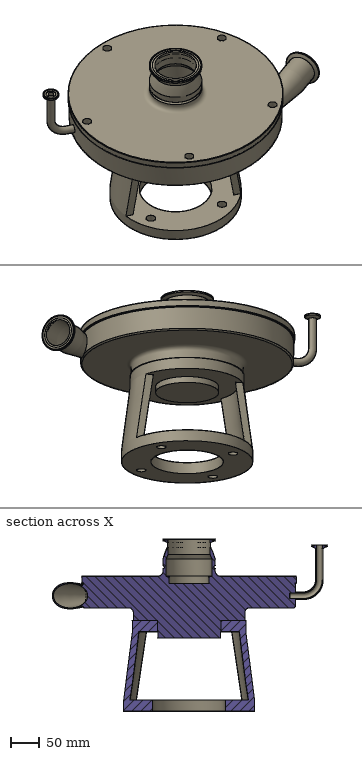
import cadquery as cq

BASE_RADIUS = 115.5
BASE_BORE_RADIUS = 63.5
BASE_THICKNESS = 20.5
BASE_HOLE_COUNT = 4
BASE_HOLE_RADIUS = 8.0
BASE_HOLE_PITCH_RADIUS = 92.5
BASE_HOLE_FIRST_ANGLE = 45.0

FLANGE_RADIUS = 100.0
FLANGE_BOTTOM_Z = 139.5
FLANGE_TOP_Z = 160.0

LEG_WIDTH = 94.0
LEG_WALL = 12.0

OUTLET_ANGLE = 135.0

SPIGOT_RADIUS = 55.5
SPIGOT_BOTTOM_Z = 128.5

HUB_RADIUS = 98.5
HUB_FILLET = 7.5

DRUM_RADIUS = 187.0
DRUM_BOTTOM_Z = 181.5
DRUM_TOP_Z = 224.5
DRUM_BOTTOM_CHAMFER = 2.5
DRUM_TOP_CHAMFER = 1.0
DRUM_MID_Z = (DRUM_BOTTOM_Z + DRUM_TOP_Z) / 2

LID_DIAMETER = 378.0
LID_RADIUS = LID_DIAMETER / 2
LID_TOP_Z = 237.5
LID_CHAMFER = 1.0
LID_HOLE_COUNT = 5
LID_HOLE_RADIUS = 7.5
LID_HOLE_PITCH_RADIUS = 173.0
LID_HOLE_FIRST_ANGLE = OUTLET_ANGLE

INLET_TOP_Z = 302.5
INLET_FERRULE_RADIUS = 46.0
INLET_TUBE_RADIUS = 38.5
INLET_BORE_RADIUS = 36.5
INLET_BODY_RADIUS = 46.0
INLET_TUBE_BOTTOM_Z = 287.5
INLET_DOME_BOTTOM_Z = 267.5
INLET_BODY_BOTTOM_Z = 256.0
INLET_NECK_TOP_Z = 251.0
INLET_GROOVE_DEPTH = 3.0
INLET_NECK_FILLET = 9.5
INLET_DOME_RADIUS = 72.0
INLET_FLARE_TOP_Z = 275.5
INLET_FLARE_RADIUS = 40.0
INLET_RECESS_RADIUS = 35.0

OUTLET_OFFSET = 144.5
OUTLET_FACE_DISTANCE = 205.0
OUTLET_CONE_DISTANCE = 160.5
OUTLET_BORE_CONE_DISTANCE = 165.5
OUTLET_END_DISTANCE = 87.0
OUTLET_FERRULE_RADIUS = 32.5
OUTLET_TUBE_RADIUS = 25.5
OUTLET_END_RADIUS = 15.5
OUTLET_WALL = 2.0

PIPE_RADIUS = 7.0
PIPE_BORE_RADIUS = 4.5
PIPE_BEND_RADIUS = 28.0
PIPE_AXIS_Y = -228.5
PIPE_TOP_Z = 292.5
PIPE_ROOT_DEPTH = 10.0
PIPE_START_Y = PIPE_ROOT_DEPTH - DRUM_RADIUS
PIPE_FERRULE_RADIUS = 14.0

FERRULE_RIM = 3.0
FERRULE_TAPER = 3.0
GASKET_GROOVE_RADIUS = 1.8
GASKET_GROOVE_INSET = 3.5


def cylinder(radius, bottom, top):
    return cq.Workplane("XY").workplane(offset=bottom).circle(radius).extrude(top - bottom)


def ring_of_holes(count, radius, pitch_radius, first_angle, bottom, top):
    return (
        cq.Workplane("XY")
        .workplane(offset=bottom)
        .polarArray(pitch_radius, first_angle, 360, count)
        .circle(radius)
        .extrude(top - bottom)
    )


def frustum(bottom_radius, bottom, top_radius, top):
    outline = [(0, bottom), (bottom_radius, bottom), (top_radius, top), (0, top)]
    return cq.Workplane("XZ").polyline(outline).close().revolve(360, (0, 0), (0, 1))


def ferrule(rim_radius, tube_radius, face_z):
    rim_bottom = face_z - FERRULE_RIM
    rim = cylinder(rim_radius, rim_bottom, face_z)
    return rim.union(frustum(tube_radius, rim_bottom - FERRULE_TAPER, rim_radius, rim_bottom))


def gasket_groove(rim_radius, face_z):
    """Half-round ring sunk into the sealing face of a ferrule."""
    return (
        cq.Workplane("XZ")
        .center(rim_radius - GASKET_GROOVE_INSET, face_z)
        .circle(GASKET_GROOVE_RADIUS)
        .revolve(360, (GASKET_GROOVE_INSET - rim_radius, 0), (GASKET_GROOVE_INSET - rim_radius, 1))
    )


def make_stand():
    base = cylinder(BASE_RADIUS, 0, BASE_THICKNESS)
    flange = cylinder(FLANGE_RADIUS, FLANGE_BOTTOM_Z, FLANGE_TOP_Z)
    shell = frustum(BASE_RADIUS, BASE_THICKNESS, FLANGE_RADIUS, FLANGE_BOTTOM_Z).cut(
        frustum(BASE_RADIUS - LEG_WALL, BASE_THICKNESS, FLANGE_RADIUS - LEG_WALL, FLANGE_BOTTOM_Z)
    )
    leg_band = cq.Workplane("XY").box(LEG_WIDTH, 2 * BASE_RADIUS, FLANGE_TOP_Z, centered=(True, True, False))
    stand = base.union(shell.intersect(leg_band)).union(flange)
    stand = stand.cut(cylinder(BASE_BORE_RADIUS, 0, BASE_THICKNESS))
    stand = stand.cut(cylinder(SPIGOT_RADIUS, FLANGE_BOTTOM_Z, FLANGE_TOP_Z))
    return stand.cut(
        ring_of_holes(
            BASE_HOLE_COUNT,
            BASE_HOLE_RADIUS,
            BASE_HOLE_PITCH_RADIUS,
            BASE_HOLE_FIRST_ANGLE,
            0,
            BASE_THICKNESS,
        )
    )


def make_drum():
    drum = cylinder(DRUM_RADIUS, DRUM_BOTTOM_Z, DRUM_TOP_Z)
    drum = drum.faces("<Z").chamfer(DRUM_BOTTOM_CHAMFER).faces(">Z").chamfer(DRUM_TOP_CHAMFER)
    hub = (
        cq.Workplane("XZ")
        .moveTo(0, FLANGE_TOP_Z)
        .lineTo(HUB_RADIUS, FLANGE_TOP_Z)
        .lineTo(HUB_RADIUS, DRUM_BOTTOM_Z - HUB_FILLET)
        .radiusArc((HUB_RADIUS + HUB_FILLET, DRUM_BOTTOM_Z), HUB_FILLET)
        .lineTo(0, DRUM_BOTTOM_Z)
        .close()
        .revolve(360, (0, 0), (0, 1))
    )
    spigot = cylinder(SPIGOT_RADIUS, SPIGOT_BOTTOM_Z, FLANGE_TOP_Z)
    return drum.union(hub).union(spigot)


def make_lid():
    lid = cylinder(LID_RADIUS, DRUM_TOP_Z, LID_TOP_Z).faces("<Z or >Z").chamfer(LID_CHAMFER)
    return lid.cut(
        ring_of_holes(
            LID_HOLE_COUNT,
            LID_HOLE_RADIUS,
            LID_HOLE_PITCH_RADIUS,
            LID_HOLE_FIRST_ANGLE,
            DRUM_TOP_Z,
            LID_TOP_Z,
        )
    )


def make_inlet():
    groove_z = (INLET_BODY_BOTTOM_Z + INLET_NECK_TOP_Z) / 2
    outer = (
        cq.Workplane("XZ")
        .moveTo(0, LID_TOP_Z)
        .lineTo(INLET_BODY_RADIUS + INLET_NECK_FILLET, LID_TOP_Z)
        .radiusArc((INLET_BODY_RADIUS, LID_TOP_Z + INLET_NECK_FILLET), INLET_NECK_FILLET)
        .lineTo(INLET_BODY_RADIUS, INLET_NECK_TOP_Z)
        .lineTo(INLET_BODY_RADIUS - INLET_GROOVE_DEPTH, groove_z)
        .lineTo(INLET_BODY_RADIUS, INLET_BODY_BOTTOM_Z)
        .lineTo(INLET_BODY_RADIUS, INLET_DOME_BOTTOM_Z)
        .radiusArc((INLET_TUBE_RADIUS, INLET_TUBE_BOTTOM_Z), -INLET_DOME_RADIUS)
        .lineTo(INLET_TUBE_RADIUS, INLET_TOP_Z)
        .lineTo(0, INLET_TOP_Z)
        .close()
        .revolve(360, (0, 0), (0, 1))
    )
    inlet = outer.union(ferrule(INLET_FERRULE_RADIUS, INLET_TUBE_RADIUS, INLET_TOP_Z))
    return inlet.cut(gasket_groove(INLET_FERRULE_RADIUS, INLET_TOP_Z))


def inlet_bore():
    tube = cylinder(INLET_BORE_RADIUS, INLET_FLARE_TOP_Z, INLET_TOP_Z)
    flare = frustum(INLET_FLARE_RADIUS, INLET_DOME_BOTTOM_Z, INLET_BORE_RADIUS, INLET_FLARE_TOP_Z)
    chamber = cylinder(INLET_FLARE_RADIUS, LID_TOP_Z, INLET_DOME_BOTTOM_Z)
    recess = cylinder(INLET_RECESS_RADIUS, DRUM_TOP_Z, LID_TOP_Z)
    return tube.union(flare).union(chamber).union(recess)


def place_outlet(upright):
    """Lay an upright branch down along the outlet axis."""
    return (
        upright.rotate((0, 0, 0), (0, 1, 0), 90)
        .translate((0, -OUTLET_OFFSET, DRUM_MID_Z))
        .rotate((0, 0, 0), (0, 0, 1), OUTLET_ANGLE)
    )


def branch(tube_radius, end_radius, cone_distance):
    """Upright tube that tapers down towards the drum."""
    tube = cylinder(tube_radius, cone_distance, OUTLET_FACE_DISTANCE)
    return tube.union(frustum(end_radius, OUTLET_END_DISTANCE, tube_radius, cone_distance))


def make_outlet():
    outlet = branch(OUTLET_TUBE_RADIUS, OUTLET_END_RADIUS, OUTLET_CONE_DISTANCE)
    outlet = outlet.union(ferrule(OUTLET_FERRULE_RADIUS, OUTLET_TUBE_RADIUS, OUTLET_FACE_DISTANCE))
    return place_outlet(outlet.cut(gasket_groove(OUTLET_FERRULE_RADIUS, OUTLET_FACE_DISTANCE)))


def outlet_bore():
    return place_outlet(
        branch(OUTLET_TUBE_RADIUS - OUTLET_WALL, OUTLET_END_RADIUS - OUTLET_WALL, OUTLET_BORE_CONE_DISTANCE)
    )


def bent_rod(radius):
    path = (
        cq.Workplane("YZ")
        .moveTo(PIPE_START_Y, DRUM_MID_Z)
        .lineTo(PIPE_AXIS_Y + PIPE_BEND_RADIUS, DRUM_MID_Z)
        .radiusArc((PIPE_AXIS_Y, DRUM_MID_Z + PIPE_BEND_RADIUS), PIPE_BEND_RADIUS)
        .lineTo(PIPE_AXIS_Y, PIPE_TOP_Z)
    )
    start = cq.Workplane("XZ", origin=(0, PIPE_START_Y, DRUM_MID_Z))
    return start.circle(radius).sweep(path)


def make_pipe():
    pipe_ferrule = ferrule(PIPE_FERRULE_RADIUS, PIPE_RADIUS, PIPE_TOP_Z)
    pipe_ferrule = pipe_ferrule.cut(gasket_groove(PIPE_FERRULE_RADIUS, PIPE_TOP_Z))
    return bent_rod(PIPE_RADIUS).union(pipe_ferrule.translate((0, PIPE_AXIS_Y, 0)))


def make_casing():
    casing = make_drum().union(make_lid()).union(make_inlet()).union(make_outlet()).union(make_pipe())
    return casing.cut(inlet_bore()).cut(outlet_bore()).cut(bent_rod(PIPE_BORE_RADIUS))


stand = make_stand()
casing = make_casing()

result = cq.Compound.makeCompound([stand.val(), casing.val()])